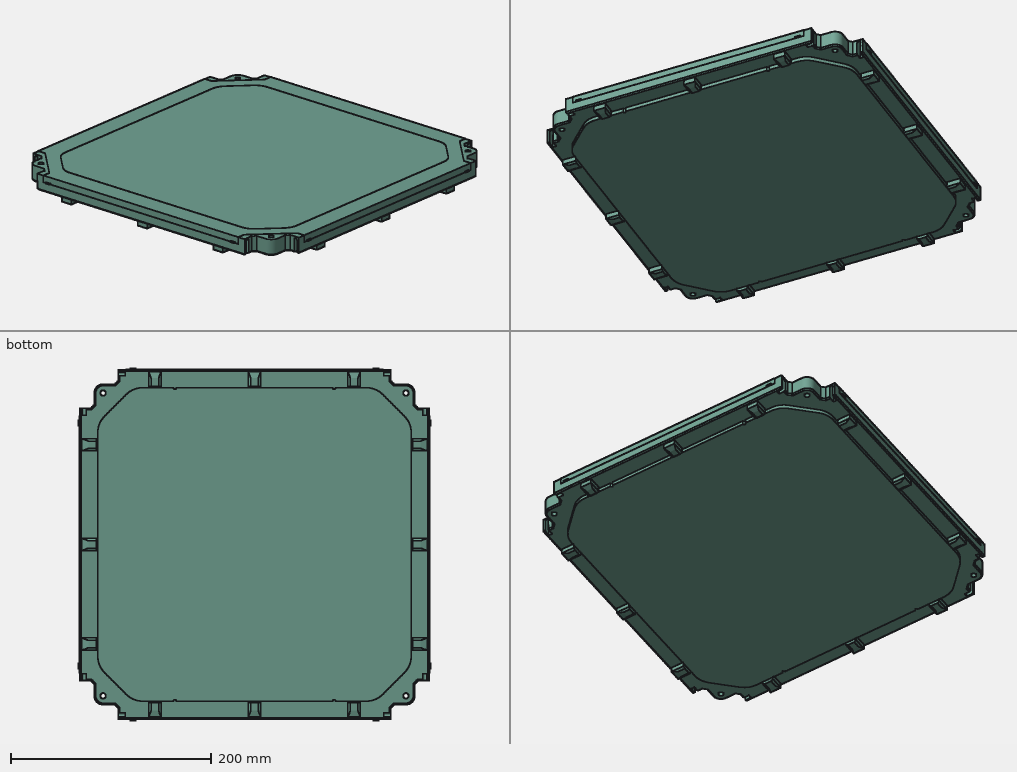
import cadquery as cq
import math


overall_side = 352.0
overall_height = 24.5
seam = 0.18

nub_reach = 1.0
cover_half = overall_side / 2 - nub_reach
cover_side_end = 128.0
cover_thickness = 7.5
cover_chamfer_start = 165.8
window_half = 152.0
window_chamfer = 31.0
window_radius = 19.5

frame_half = cover_half - seam
frame_bottom = 7.0
frame_top = overall_height - seam
frame_edge_chamfer = 1.5
notch_start = 136.2
ear_half = 160.0
ear_radius = 8.8
notch_chamfer = 3.5
ear_hole_diameter = 5.3

channel_width = 4.0
channel_offset = 170.5
channel_top = 23.0
channel_depth = 7.0

nub_width = 5.5
nub_height = 1.0
nub_offset = 121.5

plate_half = 156.5
plate_chamfer = 35.2
plate_radius = 23.0
plate_bottom = 2.5
groove_diameter = 3.0
groove_offset = 79.5

foot_length = 12.3
foot_outer = 172.5
foot_inner = 158.0
foot_pitch = 99.5
foot_side_height = 1.5
foot_end_slope = 2.5
foot_outer_slope = 6.5


def four_fold_points(corner_points):
    """Points of the +X +Y corner, repeated around Z by quarter turns."""
    points = []
    turned = list(corner_points)
    for _ in range(4):
        points += turned
        turned = [(-y, x) for x, y in turned]
    return points


def slab(corner_points, bottom, top):
    """Upright slab whose outline repeats the given corner four times."""
    outline = four_fold_points(corner_points)
    return cq.Workplane("XY").workplane(offset=bottom).polyline(outline).close().extrude(top - bottom)


def uprights(solid, corner_points):
    """The upright edges at the given points of every corner."""
    spots = four_fold_points(corner_points)

    def is_chosen(edge):
        center = edge.Center()
        return any(math.hypot(center.x - x, center.y - y) < seam for x, y in spots)

    return solid.edges("|Z").filter(is_chosen)


def on_four_sides(tool):
    """The tool together with its copies on the other three sides."""
    copies = tool
    for turn in (90, 180, 270):
        copies = copies.union(tool.rotate((0, 0, 0), (0, 0, 1), turn))
    return copies


def make_frame():
    """Square frame with notched corners, an ear in each notch and a beveled lower rim."""
    roots = [(ear_half, notch_start), (notch_start, ear_half)]
    tip = (ear_half, ear_half)
    corner = [(frame_half, notch_start), roots[0], tip, roots[1], (notch_start, frame_half)]
    frame = slab(corner, frame_bottom, frame_top)
    frame = uprights(frame, [tip]).fillet(ear_radius)
    frame = uprights(frame, roots).chamfer(notch_chamfer)
    return frame.faces("<Z").chamfer(frame_edge_chamfer)


def make_cover():
    """Cover that meets the frame edge along the sides and is cut off across the corners."""
    corner = [
        (cover_half, cover_side_end),
        (cover_chamfer_start, cover_side_end),
        (cover_side_end, cover_chamfer_start),
        (cover_side_end, cover_half),
    ]
    return slab(corner, overall_height - cover_thickness, overall_height)


def chamfered_square(half, chamfer, radius, bottom, top):
    """Square slab with cut corners and rounded upright edges."""
    corner = [(half, half - chamfer), (half - chamfer, half)]
    return slab(corner, bottom, top).edges("|Z").fillet(radius)


def make_channels():
    """Round-topped channels, open at the bottom, running into the notch walls of the -Y side."""
    radius = channel_width / 2
    arch_center = channel_top - radius
    wall = cq.Workplane("XZ", origin=(0, -notch_start, 0))
    sides = (-channel_offset, channel_offset)
    arch_spots = [(x, arch_center) for x in sides]
    shaft_spots = [(x, arch_center / 2) for x in sides]
    arches = wall.pushPoints(arch_spots).circle(radius).extrude(-channel_depth)
    shafts = wall.pushPoints(shaft_spots).rect(channel_width, arch_center).extrude(-channel_depth)
    return arches.union(shafts)


def make_nubs():
    """Nubs on the -Y side: small blocks that stand out of the cover."""
    bottom = overall_height - cover_thickness
    spots = [(-nub_offset, -cover_half), (nub_offset, -cover_half)]
    plane = cq.Workplane("XY").workplane(offset=bottom).pushPoints(spots)
    return plane.rect(nub_width, 2 * nub_reach).extrude(nub_height)


def make_feet():
    """Three feet on the -Y side, sloped underneath at both ends and on the outside."""
    profile = [
        (-foot_outer, frame_bottom),
        (-foot_inner, frame_bottom),
        (-foot_inner, 0),
        (foot_outer_slope - foot_outer, 0),
        (-foot_outer, foot_side_height),
    ]
    half = foot_length / 2
    front = [
        (-half, frame_bottom),
        (half, frame_bottom),
        (half, foot_side_height),
        (half - foot_end_slope, 0),
        (foot_end_slope - half, 0),
        (-half, foot_side_height),
    ]
    bar = cq.Workplane("YZ").polyline(profile).close().extrude(half, both=True)
    foot = bar.intersect(cq.Workplane("XZ").polyline(front).close().extrude(foot_outer))
    left = foot.translate((-foot_pitch, 0, 0))
    right = foot.translate((foot_pitch, 0, 0))
    return foot.union(left).union(right)


def make_base_plate():
    """Plate under the frame with two upright grooves in its -Y and +Y sides."""
    plate = chamfered_square(plate_half, plate_chamfer, plate_radius, plate_bottom, frame_bottom)
    spots = [(x, y) for x in (-groove_offset, groove_offset) for y in (-plate_half, plate_half)]
    grooves = cq.Workplane("XY").pushPoints(spots).circle(groove_diameter / 2).extrude(frame_bottom)
    return plate.cut(grooves)


window = chamfered_square(
    window_half, window_chamfer, window_radius, overall_height - seam, overall_height
)
ear_hole_center = ear_half - ear_radius
ear_holes = (
    cq.Workplane("XY")
    .pushPoints(four_fold_points([(ear_hole_center, ear_hole_center)]))
    .circle(ear_hole_diameter / 2)
    .extrude(overall_height)
)

result = (
    make_frame()
    .cut(on_four_sides(make_channels()))
    .union(make_cover())
    .cut(window)
    .union(on_four_sides(make_nubs()))
    .union(make_base_plate())
    .union(on_four_sides(make_feet()))
    .cut(ear_holes)
)